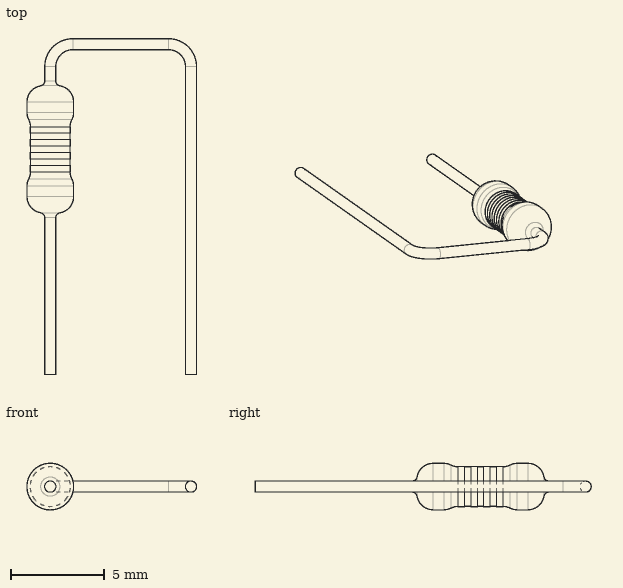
import cadquery as cq
import math


lead_radius = 0.6 / 2
lead_pitch = 7.5
bend_radius = 1.2
overall_length = 17.9
crossbar_y = overall_length - lead_radius

body_center_y = 12.0
cap_radius = 2.5 / 2
waist_radius = 2.12 / 2
dome_start = 2.52
dome_radius = 0.88
lead_fillet_radius = 0.25
shoulder_start = 1.95
waist_end = 1.2

band_radius = 2.15 / 2
band_count = 4
band_width = 2 * waist_end / (2 * band_count - 1)


def arc_point(center, radius, angle):
    """Point at an angle on an arc in the (radius, axial) plane."""
    return (center[0] + radius * math.cos(angle), center[1] + radius * math.sin(angle))


def mirrored(point):
    """Reflect a profile point to the other end of the body."""
    return (point[0], -point[1])


def make_body():
    """Revolved body: domed end caps, S-shaped shoulders and fillets onto the leads."""
    shoulder_run = (shoulder_start - waist_end) / 2
    shoulder_drop = (cap_radius - waist_radius) / 2
    shoulder_radius = (shoulder_run**2 + shoulder_drop**2) / (2 * shoulder_drop)
    shoulder_angle = math.asin(shoulder_run / shoulder_radius)
    waist_center = (waist_radius + shoulder_radius, waist_end)
    cap_center = (cap_radius - shoulder_radius, shoulder_start)
    waist_mid = arc_point(waist_center, shoulder_radius, math.pi - shoulder_angle / 2)
    shoulder_mid = (cap_radius - shoulder_drop, waist_end + shoulder_run)
    cap_mid = arc_point(cap_center, shoulder_radius, -shoulder_angle / 2)

    dome_center = (cap_radius - dome_radius, dome_start)
    fillet_center_radius = lead_radius + lead_fillet_radius
    center_distance = dome_radius + lead_fillet_radius
    contact_angle = math.acos((fillet_center_radius - dome_center[0]) / center_distance)
    fillet_center = arc_point(dome_center, center_distance, contact_angle)
    dome_mid = arc_point(dome_center, dome_radius, contact_angle / 2)
    dome_end = arc_point(dome_center, dome_radius, contact_angle)
    fillet_mid = arc_point(fillet_center, lead_fillet_radius, math.pi + contact_angle / 2)
    fillet_end = (lead_radius, fillet_center[1])

    waist_edge = (waist_radius, waist_end)
    shoulder_edge = (cap_radius, shoulder_start)
    dome_edge = (cap_radius, dome_start)

    profile = (
        cq.Workplane("XY", origin=(0, body_center_y, 0))
        .moveTo(*mirrored(waist_edge))
        .lineTo(*waist_edge)
        .threePointArc(waist_mid, shoulder_mid)
        .threePointArc(cap_mid, shoulder_edge)
        .lineTo(*dome_edge)
        .threePointArc(dome_mid, dome_end)
        .threePointArc(fillet_mid, fillet_end)
        .lineTo(0, fillet_end[1])
        .lineTo(0, -fillet_end[1])
        .lineTo(*mirrored(fillet_end))
        .threePointArc(mirrored(fillet_mid), mirrored(dome_end))
        .threePointArc(mirrored(dome_mid), mirrored(dome_edge))
        .lineTo(*mirrored(shoulder_edge))
        .threePointArc(mirrored(cap_mid), mirrored(shoulder_mid))
        .threePointArc(mirrored(waist_mid), mirrored(waist_edge))
        .close()
    )
    return profile.revolve(360, (0, 0, 0), (0, 1, 0))


def make_band(index):
    """Slightly raised colour band around the waist."""
    start_y = body_center_y - waist_end + 2 * index * band_width
    return cq.Workplane("XZ", origin=(0, start_y, 0)).circle(band_radius).extrude(-band_width)


def make_lead():
    """Round wire through the body, across the top and back down to the second tip."""
    bend_y = crossbar_y - bend_radius
    path = (
        cq.Workplane("XY")
        .lineTo(0, bend_y)
        .radiusArc((bend_radius, crossbar_y), bend_radius)
        .lineTo(lead_pitch - bend_radius, crossbar_y)
        .radiusArc((lead_pitch, bend_y), bend_radius)
        .lineTo(lead_pitch, 0)
    )
    return cq.Workplane("XZ").circle(lead_radius).sweep(path)


result = make_body().union(make_lead())
for band_index in range(band_count):
    result = result.union(make_band(band_index))